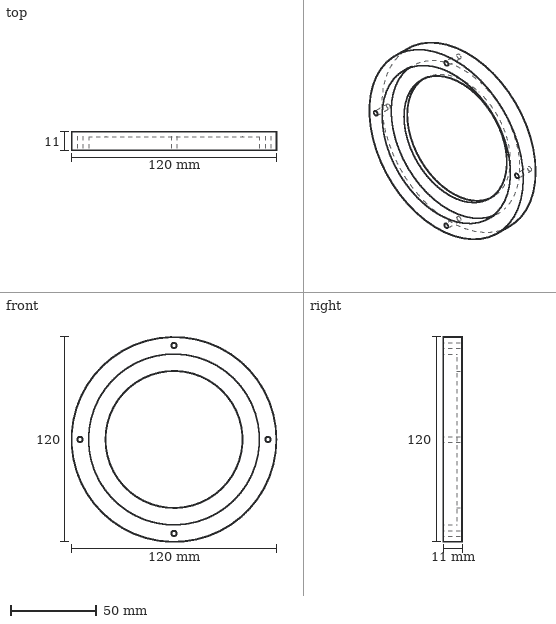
import cadquery as cq

outer_diameter = 120.0
recess_diameter = 100.0
bore_diameter = 80.0
thickness = 11.0
floor_thickness = 3.0
recess_depth = thickness - floor_thickness

hole_count = 4
hole_diameter = 3.0
hole_circle_radius = (outer_diameter + recess_diameter) / 4

ring = cq.Workplane("XZ").circle(outer_diameter / 2).extrude(thickness)

ring = ring.faces("<Y").workplane().cboreHole(bore_diameter, recess_diameter, recess_depth)

screw_holes = (
    cq.Workplane("XZ")
    .polarArray(hole_circle_radius, 0, 360, hole_count)
    .circle(hole_diameter / 2)
    .extrude(thickness)
)

result = ring.cut(screw_holes)